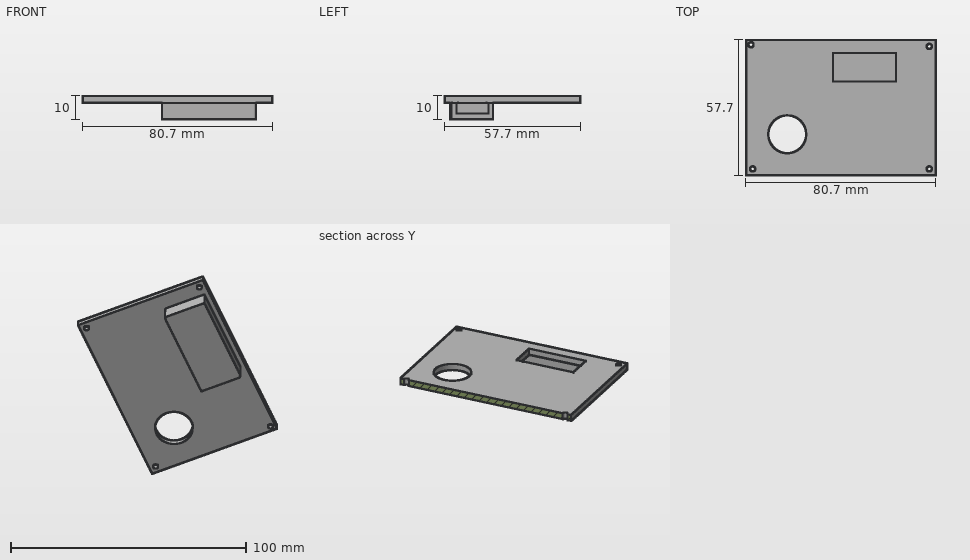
import cadquery as cq

plate_length = 80.66
plate_width = 57.66
plate_thickness = 3.0
total_height = 10.0

screw_hole_diameter = 2.1
common_inset = 2.8
upper_left_inset = 2.1
screw_hole_centers = [
    (common_inset, common_inset),
    (plate_length - common_inset, common_inset),
    (plate_length - common_inset, plate_width - common_inset),
    (upper_left_inset, plate_width - upper_left_inset),
]

round_opening_diameter = 16.0
round_opening_center = (17.5, 17.5)

window_length = 26.8
window_width = 12.2
window_left = 36.9
window_top_inset = 5.6

housing_left = 33.7
housing_length = 40.1
housing_back_inset = 2.2
housing_width = 18.4
housing_depth = total_height - plate_thickness
housing_corner_radius = 1.0
housing_corner_chamfer = 0.7
pocket_width = 13.6
pocket_depth = 4.5
wall_thickness = 2.0


def box_from_corner(length, width, height, corner):
    return cq.Workplane("XY").box(length, width, height, centered=False).translate(corner)


def make_plate():
    return box_from_corner(plate_length, plate_width, plate_thickness, (0, 0, 0))


def make_housing():
    front = plate_width - housing_back_inset - housing_width
    housing = box_from_corner(
        housing_length, housing_width, housing_depth, (housing_left, front, -housing_depth)
    )
    housing = housing.edges("|Z and >X and <Y").fillet(housing_corner_radius)
    housing = housing.edges("|Z and <X and >Y").chamfer(housing_corner_chamfer)
    pocket = box_from_corner(
        housing_length - wall_thickness,
        pocket_width,
        pocket_depth,
        (housing_left, front + wall_thickness, -pocket_depth),
    )
    return housing.cut(pocket)


def through_holes(centers, diameter):
    return cq.Workplane("XY").pushPoints(centers).circle(diameter / 2).extrude(plate_thickness)


def make_window():
    front = plate_width - window_top_inset - window_width
    return box_from_corner(window_length, window_width, plate_thickness, (window_left, front, 0))


result = (
    make_plate()
    .union(make_housing())
    .cut(through_holes(screw_hole_centers, screw_hole_diameter))
    .cut(through_holes([round_opening_center], round_opening_diameter))
    .cut(make_window())
)